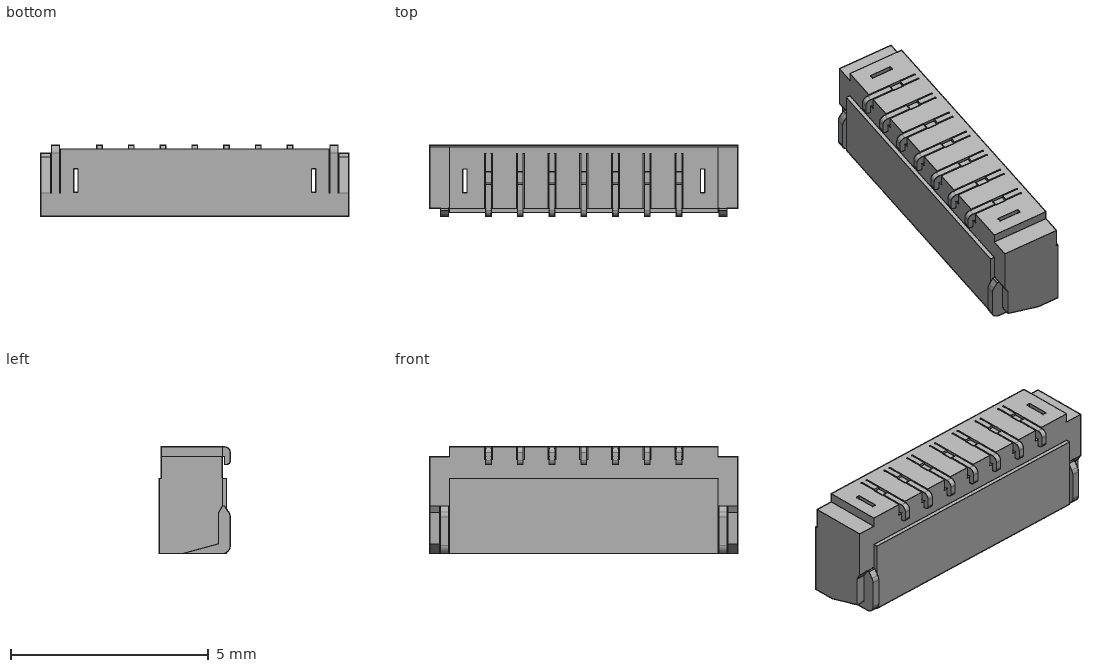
import cadquery as cq
import math


length = 7.78
depth = 1.8
height = 2.7

body_front = 0.2
nose_front = 0.09
step_height = 0.8
back_step = 0.05
end_width = 0.5
shoulder_drop = 0.25
inner_length = length - 2 * end_width

terminal_count = 7
terminal_pitch = 0.8
groove_width = 0.2
groove_depth = 0.32
groove_rear = depth - 0.22
terminal_width = 0.15
terminal_thickness = 0.25
hook_height = 0.45
hook_thickness = 0.15
hook_top_radius = 0.15
hook_tip_radius = 0.1

dip_rear = depth - 0.67
dip_front = depth - 0.995
dip_front_slope = 0.04
dip_rear_slope = 0.015
dip_depth = 0.05

slot_spacing = 6.0
slot_width = 0.1
slot_length = 0.59
slot_center_y = depth - 0.9

recess_width = end_width / 2
recess_height = 1.2
recess_back = 0.295
recess_base = 0.25
recess_slope_end = depth - 0.59
recess_roof_angle = 60
tab_width = 0.2
tab_pocket_back = recess_slope_end
tab_top_front = 0.15
tab_slope_height = 0.2
tab_radius = 0.2


def block(x_range, y_range, z_range):
    """Axis-aligned box between the given limits."""
    return cq.Workplane("XY").box(
        x_range[1] - x_range[0],
        y_range[1] - y_range[0],
        z_range[1] - z_range[0],
        centered=False,
    ).translate((x_range[0], y_range[0], z_range[0]))


def side_profile(points, x_start, width):
    """Extrude a closed (Y, Z) outline along +X from x_start."""
    return cq.Workplane("YZ", origin=(x_start, 0, 0)).polyline(points).close().extrude(width)


def both_ends(left_shape):
    """Left-hand shape together with its mirror image at the right-hand end."""
    return left_shape.union(left_shape.mirror("YZ"))


def make_housing():
    full_x = (-length / 2, length / 2)
    inner_x = (-inner_length / 2, inner_length / 2)
    step_z = height - step_height
    upper_back = depth - back_step
    shell = block(full_x, (body_front, upper_back), (0, height - shoulder_drop))
    crown = block(inner_x, (body_front, upper_back), (0, height))
    rear_plate = block(full_x, (body_front, depth), (0, step_z))
    nose = block(inner_x, (nose_front, depth), (0, step_z))
    return shell.union(crown).union(rear_plate).union(nose)


def make_corner_cut():
    """Open recess at the left end plus the deeper pocket that holds the tab."""
    roof_rise = (recess_back - body_front) * math.tan(math.radians(recess_roof_angle))
    outline = [
        (0, 0),
        (0, recess_height),
        (body_front, recess_height),
        (recess_back, recess_height - roof_rise),
        (recess_back, recess_base),
        (recess_slope_end, 0),
    ]
    recess = side_profile(outline, -length / 2, recess_width)
    pocket_x = (-length / 2 + recess_width, -inner_length / 2)
    pocket = block(pocket_x, (0, tab_pocket_back), (0, recess_height))
    return recess.union(pocket)


def make_tab():
    """Left anchor tab, centred in its pocket and joined to the pocket's rear wall."""
    outline = [
        (tab_pocket_back, 0),
        (0, 0),
        (0, recess_height - tab_slope_height),
        (tab_top_front, recess_height),
        (tab_pocket_back, recess_height),
    ]
    pocket_width = end_width - recess_width
    x_start = -inner_length / 2 - (pocket_width + tab_width) / 2
    return side_profile(outline, x_start, tab_width).edges("|X and <Y").fillet(tab_radius)


def make_terminal(x_center):
    """Flat contact with a downturned hook at the front and a dip in its top face."""
    underside = height - terminal_thickness
    outline = [
        (groove_rear, underside),
        (hook_thickness, underside),
        (hook_thickness, height - hook_height),
        (0, height - hook_height),
        (0, height),
        (dip_front, height),
        (dip_front + dip_front_slope, height - dip_depth),
        (dip_rear - dip_rear_slope, height - dip_depth),
        (dip_rear, height),
        (groove_rear, height),
    ]
    terminal = side_profile(outline, x_center - terminal_width / 2, terminal_width)
    terminal = terminal.faces("<Y").edges("|X").edges(">Z").fillet(hook_top_radius)
    return terminal.faces("<Y").edges("|X").edges("<Z").fillet(hook_tip_radius)


def make_groove(x_center):
    half_width = groove_width / 2
    return block(
        (x_center - half_width, x_center + half_width),
        (0, groove_rear),
        (height - groove_depth, height),
    )


result = make_housing()

result = result.cut(both_ends(make_corner_cut()))
result = result.union(both_ends(make_tab()))

slots = (
    cq.Workplane("XY")
    .pushPoints([(-slot_spacing / 2, slot_center_y), (slot_spacing / 2, slot_center_y)])
    .rect(slot_width, slot_length)
    .extrude(height)
)
result = result.cut(slots)

for index in range(terminal_count):
    terminal_x = (index - (terminal_count - 1) / 2) * terminal_pitch
    result = result.cut(make_groove(terminal_x))
    result = result.union(make_terminal(terminal_x))